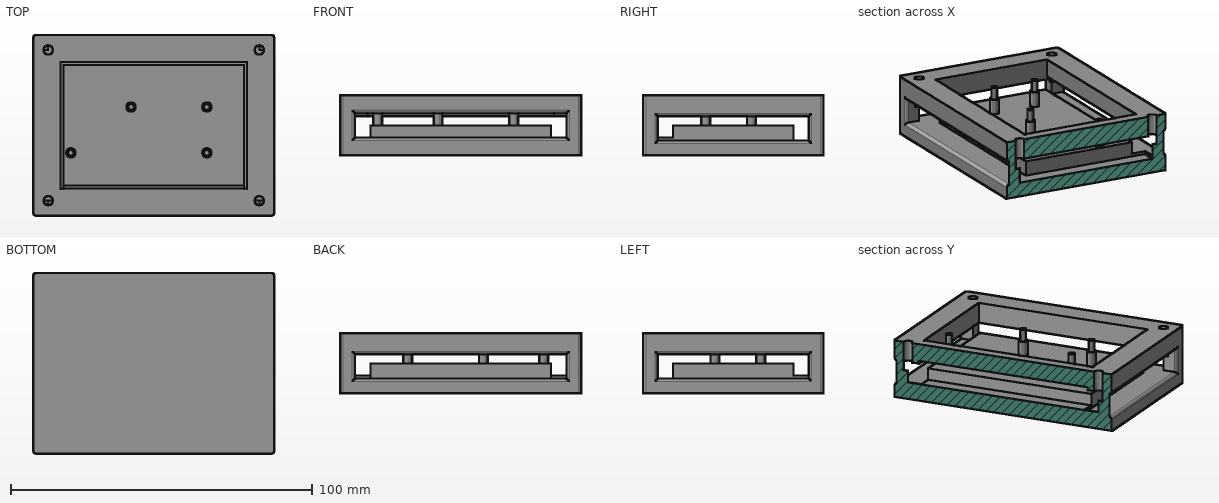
import cadquery as cq

LENGTH = 80.0
WIDTH = 60.0
HEIGHT = 20.0
CORNER_RADIUS = 1.0

WALL = 5.0
FLOOR_Z = 5.0
CEILING_Z = 13.0
EDGE_RADIUS = 1.0
FRONT_RAISE = 1.0
FRONT_SILL_Z = FLOOR_Z + FRONT_RAISE
FRONT_HEAD_Z = CEILING_Z + FRONT_RAISE
CORNER_PAD_SETBACK = 2.0

BLOCK_LENGTH = 60.0
BLOCK_WIDTH = 40.0
BLOCK_TOP_Z = 10.0
OPENING_CLEARANCE = 1.0
OPENING_LENGTH = BLOCK_LENGTH + 2 * OPENING_CLEARANCE
OPENING_WIDTH = BLOCK_WIDTH + 2 * OPENING_CLEARANCE

PIN_DIAMETER = 3.0
PIN_HEIGHT = 5.0
PIN_TIP_DIAMETER = 2.0
PIN_TIP_HEIGHT = 4.0
PIN_POSITIONS = [(-27.5, -9.1), (17.6, -9.1), (-7.5, 6.1), (17.6, 6.1)]

SCREW_DIAMETER = 3.0
SCREW_DEPTH = 10.0

INNER_LENGTH = LENGTH - 2 * WALL
INNER_WIDTH = WIDTH - 2 * WALL


def box_between(x_range, y_range, z_range):
    """Axis-aligned box given by its low and high limits."""
    ranges = (x_range, y_range, z_range)
    sizes = [high - low for low, high in ranges]
    corner = tuple(low for low, high in ranges)
    return cq.Workplane("XY").box(*sizes, centered=False).translate(corner)


def centred(size):
    return (-size / 2, size / 2)


def make_shell():
    """Block with a side-open interior and rounded window edges."""
    shell = cq.Workplane("XY").box(LENGTH, WIDTH, HEIGHT, centered=(True, True, False))
    shell = shell.edges("|Z").fillet(CORNER_RADIUS)

    side_heights = (FLOOR_Z, CEILING_Z)
    front_heights = (FRONT_SILL_Z, FRONT_HEAD_Z)
    inner_x = centred(INNER_LENGTH)
    inner_y = centred(INNER_WIDTH)

    interior = box_between(inner_x, inner_y, side_heights)
    side_windows = box_between(centred(LENGTH), inner_y, side_heights)
    back_window = box_between(inner_x, (0, WIDTH / 2), side_heights)
    front_window = box_between(inner_x, (-WIDTH / 2, inner_y[0]), front_heights)
    shell = shell.cut(interior).cut(side_windows).cut(back_window).cut(front_window)

    for face in ("<X", ">X", "<Y", ">Y"):
        rim = shell.faces(face).val().innerWires()[0].Edges()
        shell = shell.newObject(rim).fillet(EDGE_RADIUS)
    return shell


def make_corner_pads():
    """Ends of the front window's head, lowered to the ceiling of the side windows."""
    pad_y = (CORNER_PAD_SETBACK - WIDTH / 2, -INNER_WIDTH / 2)
    pad_z = (CEILING_Z, FRONT_HEAD_Z)
    right_pad = box_between((OPENING_LENGTH / 2, INNER_LENGTH / 2), pad_y, pad_z)
    return right_pad.union(right_pad.mirror("YZ"))


def make_block():
    """Raised block, with a low step joining it to the front sill."""
    block = box_between(centred(BLOCK_LENGTH), centred(BLOCK_WIDTH), (FLOOR_Z, BLOCK_TOP_Z))
    step_y = (-INNER_WIDTH / 2, -BLOCK_WIDTH / 2)
    step = box_between(centred(BLOCK_LENGTH), step_y, (FLOOR_Z, FRONT_SILL_Z))
    return block.union(step)


def make_opening():
    """Top opening, with the relief under the front bar of the frame."""
    opening_x = centred(OPENING_LENGTH)
    opening = box_between(opening_x, centred(OPENING_WIDTH), (CEILING_Z, HEIGHT))
    relief_y = (-INNER_WIDTH / 2, -OPENING_WIDTH / 2)
    relief = box_between(opening_x, relief_y, (CEILING_Z, FRONT_HEAD_Z))
    return opening.union(relief)


def make_pins():
    pins = cq.Workplane("XY", origin=(0, 0, BLOCK_TOP_Z)).pushPoints(PIN_POSITIONS)
    pins = pins.circle(PIN_DIAMETER / 2).extrude(PIN_HEIGHT)
    tips = cq.Workplane("XY", origin=(0, 0, BLOCK_TOP_Z + PIN_HEIGHT)).pushPoints(PIN_POSITIONS)
    return pins.union(tips.circle(PIN_TIP_DIAMETER / 2).extrude(PIN_TIP_HEIGHT))


def make_screw_holes():
    holes = cq.Workplane("XY", origin=(0, 0, HEIGHT))
    holes = holes.rect(INNER_LENGTH, INNER_WIDTH, forConstruction=True).vertices()
    return holes.circle(SCREW_DIAMETER / 2).extrude(-SCREW_DEPTH)


body = make_shell().cut(make_opening())
for addition in (make_corner_pads(), make_block(), make_pins()):
    body = body.union(addition)
result = body.cut(make_screw_holes())